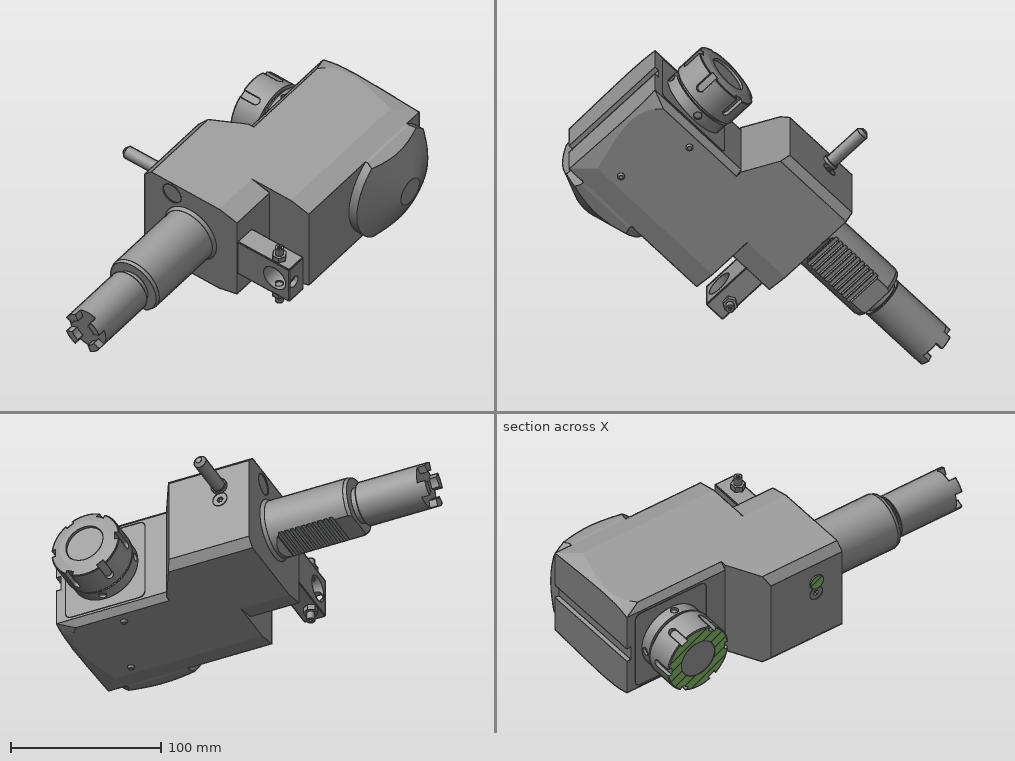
import cadquery as cq
import math


HALF_HEIGHT = 37.5
BASE_LEFT = -38.8
BASE_RIGHT = 38.8
BASE_CHAMFER = 5.7
HEAD_LEFT = -9.0
HEAD_RIGHT = 71.7
HEAD_CHAMFER = 4.5
HEAD_START = 35.5
BACK = 156.0
SHOULDER_LOW = 58.8
SHOULDER_HIGH = 74.7
SLOPE_WIDTH = 14.8
SLOPE_DROP = 3.8
BACK_SLOT_WIDTH = 11.0
BACK_SLOT_DEPTH = 3.3
CROWN_CURVE = [
    (HEAD_LEFT, HALF_HEIGHT - HEAD_CHAMFER),
    (2.7, 35.8),
    (18.3, 36.7),
    (33.5, 36.0),
    (HEAD_RIGHT - SLOPE_WIDTH, 34.5),
    (HEAD_RIGHT, HALF_HEIGHT - SLOPE_DROP),
]
CROWN_LENGTH = 22.0
CROWN_RISE = 0.25

SPINDLE_Y = 119.8
PLATE_LENGTH = 58.5
PLATE_HEIGHT = 62.6
PLATE_CORNER = 4.5
PLATE_RAISE = 0.3
COLLAR_RADIUS = 24.0
COLLAR_LENGTH = 8.5
COLLAR_HOLE_RADIUS = 2.7
COLLAR_HOLE_DEPTH = 2.2
COLLAR_HOLE_COUNT = 4
NECK_RADIUS = 22.0
NUT_RADIUS = 25.0
NUT_START = 10.7
NUT_LENGTH = 22.0
NUT_FACE_RADIUS = 18.0
NUT_FACE_BEVEL = 1.6
NUT_RIM_BEVEL = 0.5
NUT_BORE_RADIUS = 13.7
NUT_BORE_DEPTH = 2.0
NUT_SLOT_COUNT = 6
NUT_SLOT_WIDTH = 5.5
NUT_SLOT_LENGTH = 16.5
NUT_SLOT_DEPTH = 3.0
CAP_RADIUS = 40.5
CAP_RIM_LENGTH = 6.5
CAP_TIP_RADIUS = 10.0
CAP_LENGTH = 20.2
CAP_BACK = 151.8
CAP_FLAT_LENGTH = 2.2
CAP_TRIM_DROP = 5.0

FLANGE_RADIUS = 21.5
FLANGE_LENGTH = 2.5
SHANK_RADIUS = 20.0
SHANK_END = 62.6
SHANK_BEVEL = 0.8
SHANK_BEVEL_LENGTH = 2.5
RELIEF_RADIUS = 12.3
RELIEF_LENGTH = 4.0
DRIVE_RADIUS = 15.0
DRIVE_END = 112.2
DRIVE_BEVEL = 0.5
FLAT_HEIGHT = 16.0
FLAT_START = 8.5
RACK_START = 9.3
RACK_GROOVE_COUNT = 10
RACK_PITCH = 4.0
RACK_DEPTH = 1.5
RACK_FLANK = 0.8
DOG_END = 117.5
DOG_COUNT = 4
DOG_INNER_RADIUS = 9.8
DOG_HALF_ANGLE = 20

PIN_Y = 21.3
PIN_Z = 16.5
PIN_RADIUS = 4.5
PIN_TIP = -71.7
PIN_BEVEL = 2.2
PIN_COLLAR_RADIUS = 5.5
PIN_COLLAR_LENGTH = 2.2
PLUG_Z = 6.3
PLUG_RADIUS = 5.2
PLUG_RECESS = 0.3
PLUG_SOCKET = 4.0
PLUG_SOCKET_DEPTH = 2.2
PORT_X = -16.0
PORT_Z = 27.5
PORT_RADIUS = 7.7
PORT_DEPTH = 0.8
SCREW_PLACES = [(2.7, 111.5), (49.8, 128.8)]
SCREW_RADIUS = 2.5
SCREW_TIP_RADIUS = 1.5
SCREW_HEIGHT = 1.6

BRACKET_END = 82.0
BRACKET_FRONT = 0.8
BRACKET_BACK = 16.5
BRACKET_HALF_HEIGHT = 15.0
BRACKET_EDGE = 0.5
BRACKET_BORE_X = 69.8
BRACKET_BORE_RADIUS = 9.3
STUD_Y = 6.0
STUD_RADIUS = 2.7
STUD_TOP = 25.2
STUD_ROOT = 10.5
END_HOLE_RADIUS = 4.5
STUD_SOCKET = 2.7
STUD_SOCKET_DEPTH = 2.7
HEX_WIDTH = 9.8
HEX_HEIGHT = 4.0

EMBED = 1.5


def cylinder(start, direction, radius, length):
    return cq.Workplane(cq.Solid.makeCylinder(radius, length, cq.Vector(*start), cq.Vector(*direction)))


def block_section(left, right, chamfer, start, end):
    """Prism along Y: 45 degree chamfers on the left, long shallow bevels on the right."""
    upper = [
        (left, HALF_HEIGHT - chamfer),
        (left + chamfer, HALF_HEIGHT),
        (right - SLOPE_WIDTH, HALF_HEIGHT),
        (right, HALF_HEIGHT - SLOPE_DROP),
    ]
    lower = [(x, -z) for x, z in reversed(upper)]
    return cq.Workplane("XZ", origin=(0, start, 0)).polyline(upper + lower).close().extrude(start - end)


def crown_cutter():
    """Region above a shallow curve that rises from the back face toward the front."""
    top = 2 * HALF_HEIGHT

    def profile(y, rise):
        outline = (
            cq.Workplane("XZ", origin=(0, y, rise))
            .spline(CROWN_CURVE)
            .lineTo(HEAD_RIGHT, top)
            .lineTo(HEAD_LEFT, top)
            .close()
        )
        return outline.wires().val()

    front = profile(BACK - CROWN_LENGTH, CROWN_LENGTH * CROWN_RISE)
    return cq.Workplane(cq.Solid.makeLoft([profile(BACK, 0), front], True))


def housing():
    base = block_section(BASE_LEFT, BASE_RIGHT, BASE_CHAMFER, 0, SHOULDER_HIGH)
    shoulder = (
        cq.Workplane("XY", origin=(0, 0, -HALF_HEIGHT))
        .polyline([(BASE_LEFT, SHOULDER_LOW), (HEAD_LEFT, SHOULDER_HIGH), (BASE_LEFT, SHOULDER_HIGH)])
        .close()
        .extrude(2 * HALF_HEIGHT)
    )
    head = block_section(HEAD_LEFT, HEAD_RIGHT, HEAD_CHAMFER, HEAD_START, BACK)
    cutter = crown_cutter()
    slot = cq.Workplane("XY").box(4 * HEAD_RIGHT, 2 * BACK_SLOT_DEPTH, BACK_SLOT_WIDTH).translate((0, BACK, 0))
    head = head.cut(cutter).cut(cutter.mirror("XY")).cut(slot)
    return base.cut(shoulder).union(head)


def spindle_plate():
    return (
        cq.Workplane("YZ", origin=(HEAD_LEFT - PLATE_RAISE, SPINDLE_Y, 0))
        .rect(PLATE_LENGTH, PLATE_HEIGHT)
        .extrude(EMBED + PLATE_RAISE)
        .edges("|X")
        .fillet(PLATE_CORNER)
    )


def spindle_nut():
    """Collet nut and locking collar, shaped on the X axis pointing to -X, then moved into place."""
    end = NUT_START + NUT_LENGTH
    body = (
        cq.Workplane("XY")
        .moveTo(EMBED, 0)
        .lineTo(EMBED, COLLAR_RADIUS)
        .lineTo(-COLLAR_LENGTH, COLLAR_RADIUS)
        .lineTo(-COLLAR_LENGTH, NECK_RADIUS)
        .lineTo(-NUT_START, NECK_RADIUS)
        .lineTo(-NUT_START, NUT_RADIUS)
        .lineTo(NUT_FACE_BEVEL + NUT_RIM_BEVEL - end, NUT_RADIUS)
        .lineTo(NUT_FACE_BEVEL - end, NUT_RADIUS - NUT_RIM_BEVEL)
        .lineTo(-end, NUT_FACE_RADIUS)
        .lineTo(-end, NUT_BORE_RADIUS)
        .lineTo(NUT_BORE_DEPTH - end, NUT_BORE_RADIUS)
        .lineTo(NUT_BORE_DEPTH - end, 0)
        .close()
        .revolve(360, (0, 0, 0), (1, 0, 0))
    )
    slot = (
        cq.Workplane("XY", origin=(-end, 0, NUT_RADIUS - NUT_SLOT_DEPTH))
        .slot2D(2 * NUT_SLOT_LENGTH, NUT_SLOT_WIDTH)
        .extrude(2 * NUT_SLOT_DEPTH)
    )
    for i in range(NUT_SLOT_COUNT):
        angle = 90 + i * 360 / NUT_SLOT_COUNT
        body = body.cut(slot.rotate((0, 0, 0), (1, 0, 0), angle))
    hole_floor = (-COLLAR_LENGTH / 2, 0, COLLAR_RADIUS - COLLAR_HOLE_DEPTH)
    hole = cylinder(hole_floor, (0, 0, 1), COLLAR_HOLE_RADIUS, 2 * COLLAR_HOLE_DEPTH)
    for i in range(COLLAR_HOLE_COUNT):
        body = body.cut(hole.rotate((0, 0, 0), (1, 0, 0), i * 360 / COLLAR_HOLE_COUNT))
    return body.translate((HEAD_LEFT, SPINDLE_Y, 0))


def end_cap():
    """Conical cap trimmed flat at the back and along the top and bottom."""
    cone = (
        cq.Workplane("XY")
        .moveTo(-EMBED, 0)
        .lineTo(-EMBED, CAP_RADIUS)
        .lineTo(CAP_RIM_LENGTH, CAP_RADIUS)
        .lineTo(CAP_LENGTH, CAP_TIP_RADIUS)
        .lineTo(CAP_LENGTH, 0)
        .close()
        .revolve(360, (0, 0, 0), (1, 0, 0))
        .translate((HEAD_RIGHT, SPINDLE_Y, 0))
    )
    edge = HALF_HEIGHT - SLOPE_DROP
    upper = [
        (HEAD_RIGHT - EMBED, edge),
        (HEAD_RIGHT + CAP_FLAT_LENGTH, edge),
        (HEAD_RIGHT + CAP_LENGTH, edge - CAP_TRIM_DROP),
    ]
    lower = [(x, -z) for x, z in reversed(upper)]
    envelope = cq.Workplane("XZ", origin=(0, CAP_BACK, 0)).polyline(upper + lower).close().extrude(2 * CAP_RADIUS)
    return cone.intersect(envelope)


def shank():
    profile = [
        (0, EMBED),
        (FLANGE_RADIUS, EMBED),
        (FLANGE_RADIUS, 0),
        (SHANK_RADIUS, -FLANGE_LENGTH),
        (SHANK_RADIUS, SHANK_BEVEL_LENGTH - SHANK_END),
        (SHANK_RADIUS - SHANK_BEVEL, -SHANK_END),
        (RELIEF_RADIUS, -SHANK_END),
        (RELIEF_RADIUS, -SHANK_END - RELIEF_LENGTH),
        (DRIVE_RADIUS - DRIVE_BEVEL, -SHANK_END - RELIEF_LENGTH),
        (DRIVE_RADIUS, -SHANK_END - RELIEF_LENGTH - DRIVE_BEVEL),
        (DRIVE_RADIUS, -DOG_END),
        (0, -DOG_END),
    ]
    body = cq.Workplane("XY").polyline(profile).close().revolve(360, (0, 0, 0), (0, 1, 0))

    below = -2 * SHANK_RADIUS
    flat = [(-FLAT_START - FLAT_HEIGHT - below, below), (-FLAT_START, -FLAT_HEIGHT)]
    for i in range(RACK_GROOVE_COUNT):
        front = -RACK_START - i * RACK_PITCH
        back = front - RACK_PITCH
        root = RACK_DEPTH - FLAT_HEIGHT
        flat += [(front, -FLAT_HEIGHT), (front - RACK_FLANK, root), (back + RACK_FLANK, root)]
    flat += [(back, -FLAT_HEIGHT), (-SHANK_END, -FLAT_HEIGHT), (-SHANK_END, below)]
    cutter = cq.Workplane("YZ").polyline(flat).close().extrude(SHANK_RADIUS, both=True)
    return body.cut(cutter).cut(dog_gaps())


def sector_corner(radius, degrees):
    angle = math.radians(degrees)
    return (radius * math.cos(angle), radius * math.sin(angle))


def dog_gaps():
    """Material to remove at the drive end so that only the dogs remain standing."""
    reach = 2 * DRIVE_RADIUS
    length = DOG_END - DRIVE_END
    gaps = cylinder((0, -DOG_END, 0), (0, 1, 0), reach, length)
    sector = (
        cq.Workplane("XZ", origin=(0, -DRIVE_END, 0))
        .polyline([(0, 0), sector_corner(reach, -DOG_HALF_ANGLE), sector_corner(reach, DOG_HALF_ANGLE)])
        .close()
        .extrude(length)
        .cut(cylinder((0, -DOG_END, 0), (0, 1, 0), DOG_INNER_RADIUS, length))
    )
    for i in range(DOG_COUNT):
        angle = (i + 0.5) * 360 / DOG_COUNT
        gaps = gaps.cut(sector.rotate((0, 0, 0), (0, 1, 0), angle))
    return gaps


def locating_pin():
    collar_length = PIN_COLLAR_LENGTH + EMBED
    collar = cylinder((BASE_LEFT - PIN_COLLAR_LENGTH, PIN_Y, PIN_Z), (1, 0, 0), PIN_COLLAR_RADIUS, collar_length)
    pin = cylinder((PIN_TIP, PIN_Y, PIN_Z), (1, 0, 0), PIN_RADIUS, BASE_LEFT + EMBED - PIN_TIP)
    return pin.faces("<X").chamfer(PIN_BEVEL).union(collar)


def plug_and_port_cutters():
    plug = cylinder((BASE_LEFT, PIN_Y, PLUG_Z), (1, 0, 0), PLUG_RADIUS, PLUG_RECESS)
    socket = (
        cq.Workplane("YZ", origin=(BASE_LEFT, PIN_Y, PLUG_Z))
        .polygon(6, PLUG_SOCKET)
        .extrude(PLUG_SOCKET_DEPTH)
    )
    port = cylinder((PORT_X, 0, PORT_Z), (0, 1, 0), PORT_RADIUS, PORT_DEPTH)
    return plug.union(socket).union(port)


def bottom_screw(x, y):
    cone = cq.Solid.makeCone(
        SCREW_RADIUS, SCREW_TIP_RADIUS, SCREW_HEIGHT, cq.Vector(x, y, -HALF_HEIGHT), cq.Vector(0, 0, -1)
    )
    return cq.Workplane(cone)


def bracket():
    length = BRACKET_END - BASE_RIGHT + EMBED
    depth = BRACKET_BACK - BRACKET_FRONT
    arm = (
        cq.Workplane("XY")
        .box(length, depth, 2 * BRACKET_HALF_HEIGHT)
        .edges("|X or >X")
        .chamfer(BRACKET_EDGE)
        .translate((BRACKET_END - length / 2, BRACKET_FRONT + depth / 2, 0))
    )
    stud = cylinder((BRACKET_BORE_X, STUD_Y, STUD_ROOT), (0, 0, 1), STUD_RADIUS, STUD_TOP - STUD_ROOT)
    nut = (
        cq.Workplane("XY", origin=(BRACKET_BORE_X, STUD_Y, BRACKET_HALF_HEIGHT))
        .polygon(6, HEX_WIDTH)
        .extrude(HEX_HEIGHT)
    )
    socket = (
        cq.Workplane("XY", origin=(BRACKET_BORE_X, STUD_Y, STUD_TOP))
        .polygon(6, STUD_SOCKET)
        .extrude(-STUD_SOCKET_DEPTH)
    )
    fastener = stud.union(nut).cut(socket)
    bore = cylinder((BRACKET_BORE_X, 0, 0), (0, 1, 0), BRACKET_BORE_RADIUS, 2 * BRACKET_BACK)
    stud_hole = cylinder((BRACKET_BORE_X, STUD_Y, -STUD_ROOT), (0, 0, 1), STUD_RADIUS, 2 * STUD_ROOT)
    end_hole = cylinder((BRACKET_BORE_X, STUD_Y, 0), (1, 0, 0), END_HOLE_RADIUS, BRACKET_END)
    arm = arm.union(fastener).union(fastener.mirror("XY"))
    return arm.cut(bore).cut(stud_hole).cut(end_hole)


result = housing()
for attachment in (spindle_plate(), spindle_nut(), end_cap(), shank(), locating_pin(), bracket()):
    result = result.union(attachment)
for screw_x, screw_y in SCREW_PLACES:
    result = result.union(bottom_screw(screw_x, screw_y))
result = result.cut(plug_and_port_cutters())